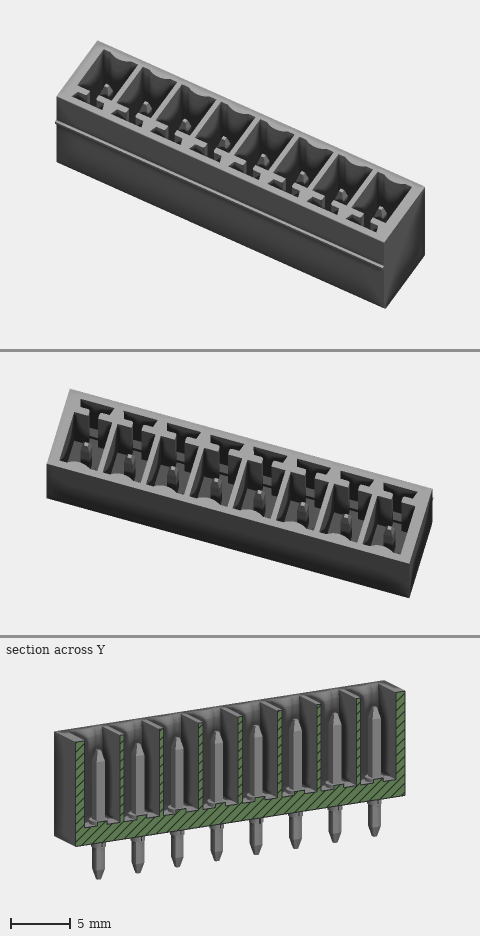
import cadquery as cq

LENGTH = 31.87
BODY_DEPTH = 6.98
BODY_HEIGHT = 9.2
BOTTOM_FRONT_FILLET = 0.5
TOP_FRONT_FILLET = 0.08

RIB_DROP = 3.15
RIB_HEIGHT = 0.38
RIB_REACH = 0.25
RIB_FILLET = 0.2

CONTACT_COUNT = 8
END_MARGIN = 2.6
PITCH = (LENGTH - 2 * END_MARGIN) / (CONTACT_COUNT - 1)
CONTACT_Y = BODY_DEPTH - 3.0

CHAMBER_WIDTH = 3.35
CHAMBER_DEPTH = 7.65
CHAMBER_BACK_Y = BODY_DEPTH - 0.67
CHAMBER_FRONT_Y = BODY_DEPTH - 5.07
BULGE_WIDTH = 2.05
BULGE_HEIGHT = 0.32
LEAD_IN_DEPTH = 0.67
LEAD_IN_OFFSET = 0.1

SLOT_BACK_Y = BODY_DEPTH - 5.65
SLOT_FRONT_Y = BODY_DEPTH - 6.35
SLOT_BACK_WIDTH = 2.55
SLOT_FRONT_WIDTH = 3.0
SLOT_DEPTH = 7.0
THROAT_WIDTH = 0.85
THROAT_FLARE_RADIUS = 0.2

PIN_WIDTH = 0.8
PIN_TIP_WIDTH = 0.32
PIN_TIP_LENGTH = 0.92
PIN_TOP_Z = BODY_HEIGHT - 1.25
PIN_BOTTOM_Z = -3.38
COLLAR_DIAMETER = 1.25
COLLAR_HEIGHT = 0.48
BOSS_DIAMETER = 1.6
BOSS_HEIGHT = 0.32


def make_body():
    body = cq.Workplane("XY").box(LENGTH, BODY_DEPTH, BODY_HEIGHT, centered=False)
    body = body.edges("|X and <Y and <Z").fillet(BOTTOM_FRONT_FILLET)
    body = body.edges("|X and <Y and >Z").fillet(TOP_FRONT_FILLET)
    rib = (
        cq.Workplane("XY", origin=(0, -RIB_REACH, BODY_HEIGHT - RIB_DROP - RIB_HEIGHT))
        .box(LENGTH, RIB_REACH, RIB_HEIGHT, centered=False)
        .edges("|X and <Y and <Z")
        .fillet(RIB_FILLET)
    )
    return body.union(rib)


def chamber_outline(plane, x, back_y):
    """Rectangle whose back side carries a rounded bulge towards the contact."""
    half = CHAMBER_WIDTH / 2
    bulge = BULGE_WIDTH / 2
    return (
        plane.moveTo(x - half, CHAMBER_FRONT_Y)
        .lineTo(x - half, back_y)
        .lineTo(x - bulge, back_y)
        .threePointArc((x, back_y - BULGE_HEIGHT), (x + bulge, back_y))
        .lineTo(x + half, back_y)
        .lineTo(x + half, CHAMBER_FRONT_Y)
        .close()
    )


def plane_below_top(depth):
    return cq.Workplane("XY", origin=(0, 0, BODY_HEIGHT - depth))


def make_chamber(x):
    floor = plane_below_top(CHAMBER_DEPTH)
    chamber = chamber_outline(floor, x, CHAMBER_BACK_Y).extrude(CHAMBER_DEPTH)
    lead_in_base = chamber_outline(plane_below_top(LEAD_IN_DEPTH), x, CHAMBER_BACK_Y)
    mouth = lead_in_base.workplane(offset=LEAD_IN_DEPTH)
    lead_in = chamber_outline(mouth, x, CHAMBER_BACK_Y + LEAD_IN_OFFSET).loft(ruled=True)
    return chamber.union(lead_in)


def make_throat(x):
    half = THROAT_WIDTH / 2
    flare = THROAT_FLARE_RADIUS
    return (
        plane_below_top(CHAMBER_DEPTH)
        .moveTo(x - half, CHAMBER_FRONT_Y)
        .lineTo(x - half, SLOT_BACK_Y + flare)
        .radiusArc((x - half - flare, SLOT_BACK_Y), flare)
        .lineTo(x + half + flare, SLOT_BACK_Y)
        .radiusArc((x + half, SLOT_BACK_Y + flare), flare)
        .lineTo(x + half, CHAMBER_FRONT_Y)
        .close()
        .extrude(CHAMBER_DEPTH)
    )


def make_coding_slot(x):
    return (
        plane_below_top(SLOT_DEPTH)
        .moveTo(x - SLOT_BACK_WIDTH / 2, SLOT_BACK_Y)
        .lineTo(x + SLOT_BACK_WIDTH / 2, SLOT_BACK_Y)
        .lineTo(x + SLOT_FRONT_WIDTH / 2, SLOT_FRONT_Y)
        .lineTo(x - SLOT_FRONT_WIDTH / 2, SLOT_FRONT_Y)
        .close()
        .extrude(SLOT_DEPTH)
    )


def make_cavity(x):
    return make_chamber(x).union(make_throat(x)).union(make_coding_slot(x))


def make_pin(x):
    """Square pin, tapered at both ends, with a collar below the housing and a boss on the chamber floor."""
    shank_bottom = PIN_BOTTOM_Z + PIN_TIP_LENGTH
    shank_top = PIN_TOP_Z - PIN_TIP_LENGTH

    def plane_at(z):
        return cq.Workplane("XY", origin=(x, CONTACT_Y, z))

    def make_tip(z, length):
        return (
            plane_at(z)
            .rect(PIN_WIDTH, PIN_WIDTH)
            .workplane(offset=length)
            .rect(PIN_TIP_WIDTH, PIN_TIP_WIDTH)
            .loft()
        )

    shank = plane_at(shank_bottom).rect(PIN_WIDTH, PIN_WIDTH).extrude(shank_top - shank_bottom)
    collar = plane_at(-COLLAR_HEIGHT).circle(COLLAR_DIAMETER / 2).extrude(COLLAR_HEIGHT)
    boss = plane_at(BODY_HEIGHT - CHAMBER_DEPTH).circle(BOSS_DIAMETER / 2).extrude(BOSS_HEIGHT)
    upper_tip = make_tip(shank_top, PIN_TIP_LENGTH)
    lower_tip = make_tip(shank_bottom, -PIN_TIP_LENGTH)
    return shank.union(upper_tip).union(lower_tip).union(collar).union(boss)


result = make_body()
for index in range(CONTACT_COUNT):
    contact_x = END_MARGIN + index * PITCH
    result = result.cut(make_cavity(contact_x)).union(make_pin(contact_x))